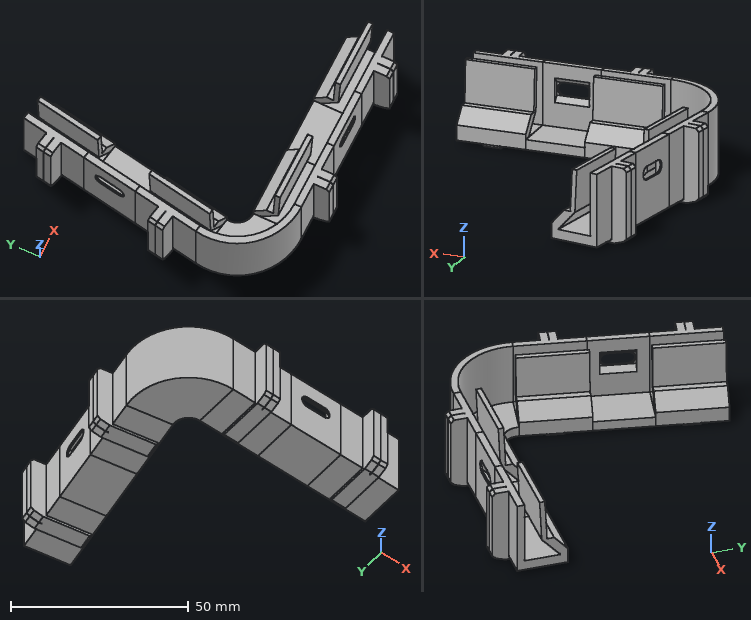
import cadquery as cq


corner_angle = 80.0
setting_angle = -0.15
outer_radius = 20.1
inner_radius = 5.0
clip_length = 21.0
plate_length = 17.9
arm_height = 22.0
wall_thickness = 2.2
floor_thickness = 3.1

lip_gap = 4.5
lip_thickness = 1.6
lip_lean = 0.6
lip_foot_height = 9.2
strut_width = 4.1
strut_drop = 4.6

rib_width = 5.1
rib_projection = 4.9
rib_drop = 1.05
rib_chamfer = 1.0
rib_ramp_length = 3.0
rib_slit_width = 0.1

slot_length = 10.0
slot_height = 4.0
slot_center_height = 14.0
slot_skin = 0.5
recess_length = 10.5

wall_outer_y = -outer_radius
wall_inner_y = wall_outer_y + wall_thickness
floor_edge_y = -inner_radius
rib_tip_y = wall_outer_y - rib_projection

plain_outline = [
    (wall_outer_y, 0),
    (floor_edge_y, 0),
    (floor_edge_y, floor_thickness),
    (wall_inner_y, floor_thickness),
    (wall_inner_y, arm_height),
    (wall_outer_y, arm_height),
]


def extrude_along_arm(outline, start, length):
    """Extrude an outline of (y, z) points along +X from the given place."""
    return cq.Workplane("YZ").workplane(offset=start).polyline(outline).close().extrude(length)


def make_rib(center):
    """Rib down the wall and under the floor, with a thin slit along its middle."""
    ramp_start_y = rib_tip_y + rib_chamfer
    outline = [
        (rib_tip_y, rib_chamfer),
        (ramp_start_y, 0),
        (ramp_start_y + rib_ramp_length, -rib_drop),
        (floor_edge_y - rib_drop, -rib_drop),
        (floor_edge_y, 0),
        (wall_outer_y, 0),
        (wall_outer_y, arm_height),
        (ramp_start_y, arm_height),
        (rib_tip_y, arm_height - rib_chamfer),
    ]
    rib = extrude_along_arm(outline, center - rib_width / 2, rib_width)
    slit = (
        cq.Workplane("XY", origin=(center, rib_tip_y, -rib_drop))
        .box(rib_slit_width, rib_projection, arm_height + rib_drop, centered=(True, False, False))
    )
    return rib.cut(slit)


def make_clip_section(start):
    """Wall, floor and spring lip in one section, with a rib at its middle."""
    lip_top_outer_y = wall_inner_y + lip_gap
    lip_top_inner_y = lip_top_outer_y + lip_thickness
    lip_foot_outer_y = lip_top_outer_y + lip_lean
    strut_run = (lip_foot_height - floor_thickness) * strut_width / strut_drop
    outline = [
        (wall_outer_y, 0),
        (floor_edge_y, 0),
        (floor_edge_y, lip_foot_height - strut_drop),
        (floor_edge_y - strut_width, lip_foot_height),
        (lip_top_inner_y + lip_lean, lip_foot_height),
        (lip_top_inner_y, arm_height),
        (lip_top_outer_y, arm_height),
        (lip_foot_outer_y, lip_foot_height),
        (lip_foot_outer_y + strut_run, floor_thickness),
        (wall_inner_y, floor_thickness),
        (wall_inner_y, arm_height),
        (wall_outer_y, arm_height),
    ]
    section = extrude_along_arm(outline, start, clip_length)
    return section.union(make_rib(start + clip_length / 2))


def make_plate(start):
    """Plain section with a slot through its wall and a widening recess behind the slot."""
    center = start + plate_length / 2
    plate = extrude_along_arm(plain_outline, start, plate_length)
    slot = (
        cq.Workplane("XZ", origin=(center, wall_inner_y, slot_center_height))
        .slot2D(slot_length, slot_height)
        .extrude(wall_thickness)
    )
    slot_bottom = slot_center_height - slot_height / 2
    slot_top = slot_center_height + slot_height / 2
    recess_depth = wall_thickness - slot_skin
    recess_outline = [
        (wall_inner_y - recess_depth, slot_bottom),
        (wall_inner_y, slot_bottom - recess_depth),
        (wall_inner_y, slot_top + recess_depth),
        (wall_inner_y - recess_depth, slot_top),
    ]
    recess = extrude_along_arm(recess_outline, center - recess_length / 2, recess_length)
    return plate.cut(slot).cut(recess)


def make_bend():
    """Plain section swept around the Z axis from the first arm to the second."""
    section = cq.Workplane("YZ").polyline(plain_outline).close()
    return section.revolve(180 - corner_angle, (0, 0), (0, -1))


def place_on_second_arm(section):
    """Mirror a first-arm section so that it lies on the second arm."""
    return section.mirror("XZ").rotate((0, 0, 0), (0, 0, 1), corner_angle)


first_arm = [
    make_clip_section(0),
    make_plate(clip_length),
    make_clip_section(clip_length + plate_length),
]
second_arm = [place_on_second_arm(section) for section in first_arm]
bend = make_bend()

bracket = cq.Compound.makeCompound([section.val() for section in [bend, *first_arm, *second_arm]])
result = bracket.rotate((0, 0, 0), (0, 0, 1), setting_angle)